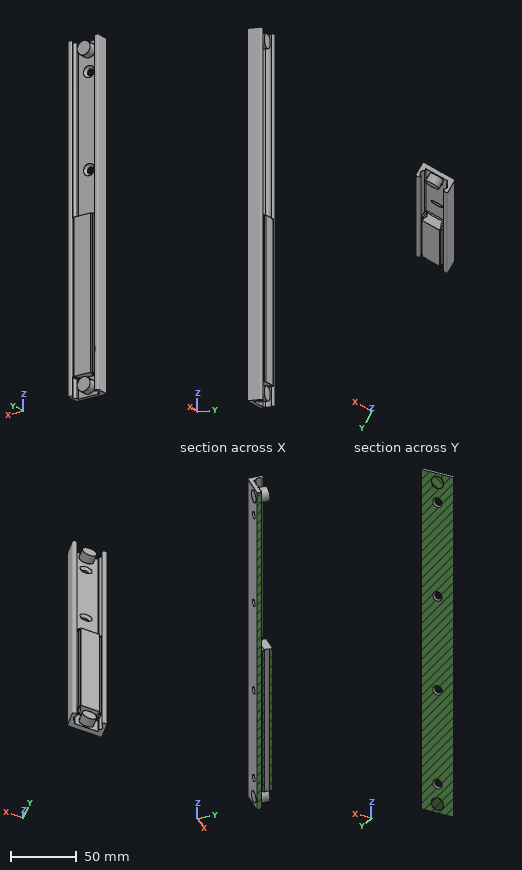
import cadquery as cq


RAIL_LENGTH = 290.0
RAIL_WIDTH = 28.0
RAIL_DEPTH = 12.2
WEB_THICKNESS = 3.8
FLOOR_HALF_WIDTH = 9.5
MOUTH_HALF_WIDTH = 10.2
LIP_ROUND = 1.2
OUTER_ROUND = 1.2

TRACK_X = 9.0
TRACK_Y = 8.0
TRACK_RADIUS = 2.5

SCREW_HOLE_DIAMETER = 5.5
SCREW_HOLE_COUNT = 4
SCREW_HOLE_PITCH = 80.0
SCREW_SINK_DIAMETER = 10.0
SCREW_SINK_DEPTH = (SCREW_SINK_DIAMETER - SCREW_HOLE_DIAMETER) / 2

STOP_DIAMETER = 12.0
STOP_SHANK_DIAMETER = 10.0
STOP_TOP = 11.0
STOP_END_DISTANCE = 7.8

SLIDER_LENGTH = 130.0
SLIDER_WIDTH = 15.0
SLIDER_INNER_FACE = 4.4
SLIDER_PROTRUSION = 0.7
SLIDER_OUTER_FACE = RAIL_DEPTH + SLIDER_PROTRUSION
SLIDER_TOP = RAIL_LENGTH / 2
SLIDER_BOTTOM = SLIDER_TOP - SLIDER_LENGTH
LEAD_IN_RISE = 1.5
LEAD_IN_LENGTH = 1.0

CAGE_CENTRE_X = 8.7
CAGE_THICKNESS = 1.2
CAGE_INNER_EDGE = 5.0
CAGE_OUTER_EDGE = 12.0

STOP_HEIGHTS = (STOP_END_DISTANCE, RAIL_LENGTH - STOP_END_DISTANCE)
SIDES = (-1, 1)


def box_between(x_range, y_range, z_range):
    """Box spanning the given (low, high) range on each axis."""
    lows, highs = zip(x_range, y_range, z_range)
    sizes = [high - low for low, high in zip(lows, highs)]
    return cq.Workplane("XY").box(*sizes, centered=False).translate(lows)


def cross_cylinder(diameter, y_low, y_high, z):
    """Cylinder along Y on the centre line of the rail."""
    disc = cq.Workplane("XZ", origin=(0, y_low, z)).circle(diameter / 2)
    return disc.extrude(y_low - y_high)


def ball_track(side):
    """Cylinder along the whole rail that cuts the track on one side."""
    circle = cq.Workplane("XY").center(side * TRACK_X, TRACK_Y).circle(TRACK_RADIUS)
    return circle.extrude(RAIL_LENGTH)


def channel():
    """Inside of the rail: a floor groove and a slightly wider mouth."""
    floor = box_between(
        (-FLOOR_HALF_WIDTH, FLOOR_HALF_WIDTH), (WEB_THICKNESS, TRACK_Y), (0, RAIL_LENGTH)
    )
    mouth = box_between(
        (-MOUTH_HALF_WIDTH, MOUTH_HALF_WIDTH), (TRACK_Y, RAIL_DEPTH), (0, RAIL_LENGTH)
    )
    return floor.union(mouth)


def screw_hole(z):
    """Through hole in the web with a 90 degree countersink in the channel floor."""
    hole = cross_cylinder(SCREW_HOLE_DIAMETER, 0, WEB_THICKNESS, z)
    sink = cq.Solid.makeCone(
        SCREW_SINK_DIAMETER / 2,
        SCREW_HOLE_DIAMETER / 2,
        SCREW_SINK_DEPTH,
        pnt=cq.Vector(0, WEB_THICKNESS, z),
        dir=cq.Vector(0, -1, 0),
    )
    return hole.union(cq.Workplane(sink))


def make_rail():
    half_width = RAIL_WIDTH / 2
    rail = box_between((-half_width, half_width), (0, RAIL_DEPTH), (0, RAIL_LENGTH))
    rail = rail.edges("|Z and <Y").fillet(OUTER_ROUND)
    rail = rail.cut(channel())
    rail = rail.faces(">Y").edges("|Z").fillet(LIP_ROUND)
    for side in SIDES:
        rail = rail.cut(ball_track(side))
    first_hole = (RAIL_LENGTH - (SCREW_HOLE_COUNT - 1) * SCREW_HOLE_PITCH) / 2
    for i in range(SCREW_HOLE_COUNT):
        z = first_hole + i * SCREW_HOLE_PITCH
        rail = rail.cut(screw_hole(z))
    for z in STOP_HEIGHTS:
        rail = rail.cut(cross_cylinder(STOP_SHANK_DIAMETER, 0, WEB_THICKNESS, z))
    return rail


def make_end_stop(z):
    """Round stop whose thinner shank fills a hole in the web, flush outside."""
    shank = cross_cylinder(STOP_SHANK_DIAMETER, 0, WEB_THICKNESS, z)
    head = cross_cylinder(STOP_DIAMETER, WEB_THICKNESS, STOP_TOP, z)
    return shank.union(head)


def make_slider():
    """Bar with a ball track in each flank and a lead-in on the inner edge of each end."""
    lead_in_y = SLIDER_INNER_FACE + LEAD_IN_RISE
    side_outline = [
        (SLIDER_INNER_FACE, SLIDER_BOTTOM + LEAD_IN_LENGTH),
        (lead_in_y, SLIDER_BOTTOM),
        (SLIDER_OUTER_FACE, SLIDER_BOTTOM),
        (SLIDER_OUTER_FACE, SLIDER_TOP),
        (lead_in_y, SLIDER_TOP),
        (SLIDER_INNER_FACE, SLIDER_TOP - LEAD_IN_LENGTH),
    ]
    outline = cq.Workplane("YZ").polyline(side_outline).close()
    slider = outline.extrude(SLIDER_WIDTH / 2, both=True)
    for side in SIDES:
        slider = slider.cut(ball_track(side))
    return slider


def make_cage_strip(side):
    """Flat strip in the gap between the slider flank and the rail wall."""
    centre_x = side * CAGE_CENTRE_X
    return box_between(
        (centre_x - CAGE_THICKNESS / 2, centre_x + CAGE_THICKNESS / 2),
        (CAGE_INNER_EDGE, CAGE_OUTER_EDGE),
        (SLIDER_BOTTOM, SLIDER_TOP),
    )


rail = make_rail()
slider = make_slider()
end_stops = [make_end_stop(z) for z in STOP_HEIGHTS]
cage_strips = [make_cage_strip(side) for side in SIDES]

bodies = [rail, slider, *end_stops, *cage_strips]
result = cq.Compound.makeCompound([body.solids().val() for body in bodies])